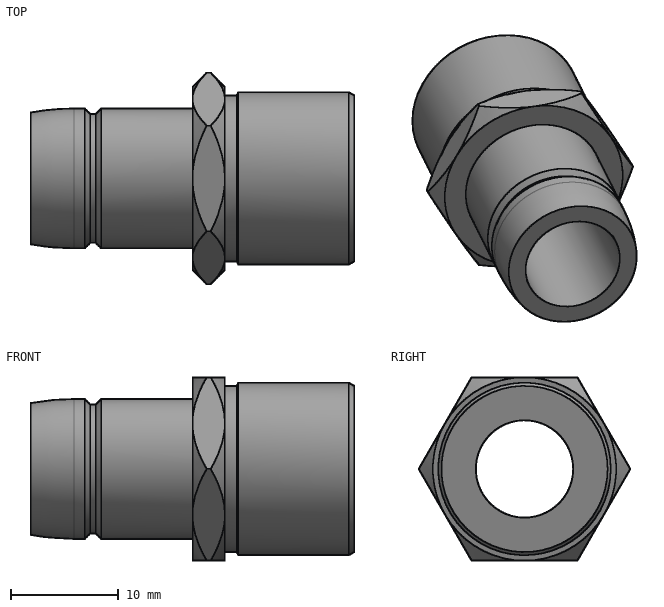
import cadquery as cq
import math


total_length = 30.0
hex_start = 15.0
hex_width = 3.0
hex_end = hex_start + hex_width
relief_width = 1.08
relief_end = hex_end + relief_width

spigot_radius = 13.0 / 2
nose_length = 4.0
nose_tip_radius = 12.25 / 2
groove_start = 5.0
groove_depth = 0.5
groove_floor_width = 0.5

relief_radius = 15.42 / 2
body_radius = 16.0 / 2
shoulder_length = 0.18
end_chamfer_length = 0.5
end_chamfer_depth = end_chamfer_length * math.tan(math.pi / 6)
bore_radius = 9.0 / 2

across_corners = 19.62
across_flats = across_corners * math.cos(math.pi / 6)
hex_chamfer = (across_corners - across_flats) / 2


def make_spigot():
    """Spigot with a barrel-shaped nose that blends tangentially into the cylinder."""
    groove_floor_radius = spigot_radius - groove_depth
    floor_start = groove_start + groove_depth
    floor_end = floor_start + groove_floor_width
    groove_end = floor_end + groove_depth
    return (
        cq.Workplane("XY")
        .moveTo(hex_start, 0)
        .lineTo(hex_start, spigot_radius)
        .lineTo(groove_end, spigot_radius)
        .lineTo(floor_end, groove_floor_radius)
        .lineTo(floor_start, groove_floor_radius)
        .lineTo(groove_start, spigot_radius)
        .lineTo(nose_length, spigot_radius)
        .tangentArcPoint((0, nose_tip_radius), relative=False)
        .lineTo(0, 0)
        .close()
        .revolve(360, (0, 0, 0), (1, 0, 0))
    )


def make_hexagon():
    """Wrench hexagon whose corners are turned off by a cone on each side."""
    prism = cq.Workplane("YZ", origin=(hex_start, 0, 0)).polygon(6, across_corners).extrude(hex_width)
    chamfered_disc = (
        cq.Workplane("YZ", origin=(hex_start, 0, 0))
        .circle(across_corners / 2)
        .extrude(hex_width)
        .edges()
        .chamfer(hex_chamfer)
    )
    return prism.intersect(chamfered_disc)


def make_body():
    """Relief next to the hexagon and plain cylinder, with a cone at each end of the cylinder."""
    return (
        cq.Workplane("XY")
        .moveTo(hex_end, 0)
        .lineTo(hex_end, relief_radius)
        .lineTo(relief_end, relief_radius)
        .lineTo(relief_end + shoulder_length, body_radius)
        .lineTo(total_length - end_chamfer_length, body_radius)
        .lineTo(total_length, body_radius - end_chamfer_depth)
        .lineTo(total_length, 0)
        .close()
        .revolve(360, (0, 0, 0), (1, 0, 0))
    )


bore = cq.Workplane("YZ").circle(bore_radius).extrude(total_length)

result = make_spigot().union(make_hexagon()).union(make_body()).cut(bore)